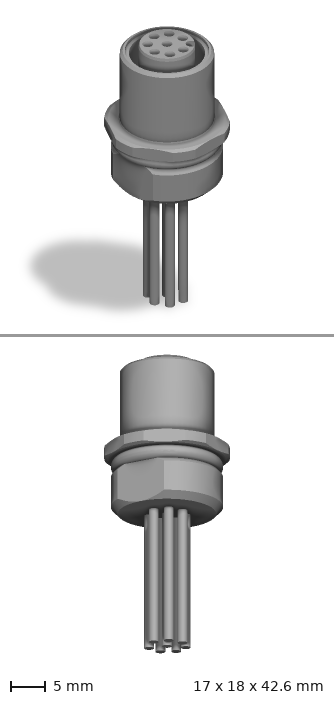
import cadquery as cq
import math

TOTAL_HEIGHT = 42.6
RIM_TOP = 41.55
FLANGE_TOP = 30.05
FLANGE_BOTTOM = 28.05
NUT_TOP = 26.0
NUT_BOTTOM = 19.95

HOUSING_RADIUS = 6.77
RIM_CHAMFER = 0.43
FLARE_RADIUS = 6.95
FLARE_HEIGHT = 0.15
RIM_STEP_RADIUS = 6.05
RIM_STEP_DEPTH = 0.45
SOCKET_MOUTH_RADIUS = 5.45
SOCKET_FLOOR_RADIUS = 5.32
SOCKET_FLOOR = FLANGE_TOP

FLANGE_ACROSS_FLATS = 17.0
FLANGE_ACROSS_CORNERS = 18.0
FLANGE_CORNER_RADIUS = FLANGE_ACROSS_CORNERS / 2
FLANGE_FACE_RADIUS = 8.45
FLANGE_BEVEL_HEIGHT = 0.25

RING_OUTER_RADIUS = 8.05
RING_SECTION_RADIUS = (FLANGE_BOTTOM - NUT_TOP) / 2
RING_CENTRE_RADIUS = RING_OUTER_RADIUS - RING_SECTION_RADIUS
RING_HEIGHT = (FLANGE_BOTTOM + NUT_TOP) / 2

NUT_RADIUS = 8.05
NUT_ACROSS_FLATS = 14.05
NUT_TOP_RADIUS = 7.55
NUT_TOP_BEVEL_HEIGHT = 0.6
NUT_BOTTOM_RADIUS = NUT_ACROSS_FLATS / 2
NUT_BOTTOM_BEVEL_HEIGHT = 1.02

INSERT_RADIUS = 4.1
INSERT_TOP_RADIUS = 3.95
INSERT_BEVEL_HEIGHT = 0.43
KEYWAY_ANGLE = 45.0
KEYWAY_WIDTH = 1.45
KEYWAY_INNER_REACH = 2.7
KEYWAY_DEPTH = 5.1

OUTER_CONTACTS = 7
CONTACT_CIRCLE_DIAMETER = 5.5
CONTACT_CIRCLE_RADIUS = CONTACT_CIRCLE_DIAMETER / 2
CONTACT_SPACING = 48.8
CONTACT_MOUTH_RADIUS = 0.75
CONTACT_FLOOR_RADIUS = 0.43
CONTACT_DEPTH = 0.75
WIRE_DIAMETER = 1.4
WIRE_RADIUS = WIRE_DIAMETER / 2


def polar(radius, degrees):
    angle = math.radians(degrees)
    return (radius * math.cos(angle), radius * math.sin(angle))


def turned(profile):
    """Revolve (radius, height) points around the Z axis."""
    return cq.Workplane("XZ").polyline(profile).close().revolve(360, (0, 0), (0, 1))


def cylinder(radius, bottom, top, centres=((0, 0),)):
    return cq.Workplane("XY").workplane(offset=bottom).pushPoints(centres).circle(radius).extrude(top - bottom)


def make_housing():
    shell = turned([
        (0, FLANGE_TOP),
        (FLARE_RADIUS, FLANGE_TOP),
        (HOUSING_RADIUS, FLANGE_TOP + FLARE_HEIGHT),
        (HOUSING_RADIUS, RIM_TOP - RIM_CHAMFER),
        (HOUSING_RADIUS - RIM_CHAMFER, RIM_TOP),
        (0, RIM_TOP),
    ])
    land_height = RIM_TOP - RIM_STEP_DEPTH
    socket = turned([
        (0, SOCKET_FLOOR),
        (SOCKET_FLOOR_RADIUS, SOCKET_FLOOR),
        (SOCKET_MOUTH_RADIUS, land_height),
        (0, land_height),
    ])
    rim_step = cylinder(RIM_STEP_RADIUS, land_height, RIM_TOP)
    return shell.cut(rim_step).cut(socket)


def make_flange():
    disc = turned([
        (0, FLANGE_BOTTOM),
        (FLANGE_FACE_RADIUS, FLANGE_BOTTOM),
        (FLANGE_CORNER_RADIUS, FLANGE_BOTTOM + FLANGE_BEVEL_HEIGHT),
        (FLANGE_CORNER_RADIUS, FLANGE_TOP - FLANGE_BEVEL_HEIGHT),
        (FLANGE_FACE_RADIUS, FLANGE_TOP),
        (0, FLANGE_TOP),
    ])
    hexagon = (
        cq.Workplane("XY")
        .workplane(offset=FLANGE_BOTTOM)
        .polygon(6, FLANGE_ACROSS_FLATS, circumscribed=True)
        .extrude(FLANGE_TOP - FLANGE_BOTTOM)
    )
    return disc.intersect(hexagon)


def make_sealing_ring():
    core = cylinder(RING_CENTRE_RADIUS, NUT_TOP, FLANGE_BOTTOM)
    ring = (
        cq.Workplane("XZ")
        .center(RING_CENTRE_RADIUS, RING_HEIGHT)
        .circle(RING_SECTION_RADIUS)
        .revolve(360, (-RING_CENTRE_RADIUS, 0), (-RING_CENTRE_RADIUS, 1))
    )
    return core.union(ring)


def make_nut():
    body = turned([
        (0, NUT_BOTTOM),
        (NUT_BOTTOM_RADIUS, NUT_BOTTOM),
        (NUT_RADIUS, NUT_BOTTOM + NUT_BOTTOM_BEVEL_HEIGHT),
        (NUT_RADIUS, NUT_TOP - NUT_TOP_BEVEL_HEIGHT),
        (NUT_TOP_RADIUS, NUT_TOP),
        (0, NUT_TOP),
    ])
    flats = (
        cq.Workplane("XY")
        .workplane(offset=NUT_BOTTOM)
        .rect(2 * NUT_RADIUS, NUT_ACROSS_FLATS)
        .extrude(NUT_TOP - NUT_BOTTOM)
    )
    return body.intersect(flats)


def contact_centres():
    middle_angle = KEYWAY_ANGLE + 180
    first_angle = middle_angle - CONTACT_SPACING * (OUTER_CONTACTS - 1) / 2
    outer = [
        polar(CONTACT_CIRCLE_RADIUS, first_angle + CONTACT_SPACING * index)
        for index in range(OUTER_CONTACTS)
    ]
    return [(0, 0)] + outer


def make_insert(centres):
    body = turned([
        (0, SOCKET_FLOOR),
        (INSERT_RADIUS, SOCKET_FLOOR),
        (INSERT_RADIUS, TOTAL_HEIGHT - INSERT_BEVEL_HEIGHT),
        (INSERT_TOP_RADIUS, TOTAL_HEIGHT),
        (0, TOTAL_HEIGHT),
    ])
    keyway_length = 2 * (INSERT_RADIUS - KEYWAY_INNER_REACH)
    keyway = (
        cq.Workplane("XY")
        .workplane(offset=TOTAL_HEIGHT - KEYWAY_DEPTH)
        .center(INSERT_RADIUS, 0)
        .slot2D(keyway_length, KEYWAY_WIDTH)
        .extrude(KEYWAY_DEPTH)
        .rotate((0, 0, 0), (0, 0, 1), KEYWAY_ANGLE)
    )
    body = body.cut(keyway)
    contact_hole = turned([
        (0, TOTAL_HEIGHT - CONTACT_DEPTH),
        (CONTACT_FLOOR_RADIUS, TOTAL_HEIGHT - CONTACT_DEPTH),
        (CONTACT_MOUTH_RADIUS, TOTAL_HEIGHT),
        (0, TOTAL_HEIGHT),
    ])
    for x, y in centres:
        body = body.cut(contact_hole.translate((x, y, 0)))
    return body


contacts = contact_centres()
result = (
    make_nut()
    .union(make_sealing_ring())
    .union(make_flange())
    .union(make_housing())
    .union(make_insert(contacts))
    .union(cylinder(WIRE_RADIUS, 0, NUT_BOTTOM, contacts))
)